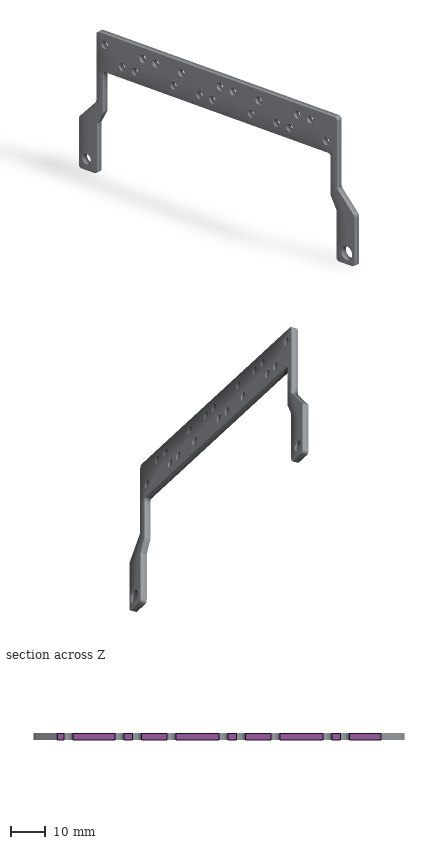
import cadquery as cq
import math

LENGTH = 107.0
HEIGHT = 45.0
THICKNESS = 2.0

BAR_LENGTH = 93.5
BAR_HEIGHT = 12.0
ARM_WIDTH = 2.5
FOOT_WIDTH = 7.0
FOOT_HEIGHT = 16.0
OUTER_BEND_ANGLE = 45.0
INNER_BEND_ANGLE = 60.0
CORNER_RADIUS = 1.0

SMALL_HOLE_DIAMETER = 2.45
PITCH = 5.0
PATTERN_ORIGIN_X = 1.25
ROW_EDGE_DISTANCE = 3.5
UPPER_ROW_STEPS = (-6, -5, -3, 0, 1, 3, 6, 7)
LOWER_ROW_SHIFT = 2.0
LOWER_ROW_STEPS = (-8, -7, -4, -2, -1, 2, 4, 5)
UPPER_END_HOLE_X = -43.5
LOWER_END_HOLE_X = 42.5

FOOT_HOLE_X = 50.5
FOOT_HOLE_EDGE_DISTANCE = 3.5
LEFT_FOOT_HOLE_DIAMETER = 3.2
RIGHT_FOOT_HOLE_DIAMETER = 4.2

HALF_LENGTH = LENGTH / 2
BAR_HALF_LENGTH = BAR_LENGTH / 2
TOP_Z = HEIGHT / 2
BOTTOM_Z = -HEIGHT / 2
BAR_BOTTOM_Z = TOP_Z - BAR_HEIGHT
ARM_INNER_X = BAR_HALF_LENGTH - ARM_WIDTH
FOOT_INNER_X = HALF_LENGTH - FOOT_WIDTH
FOOT_TOP_Z = BOTTOM_Z + FOOT_HEIGHT
OUTER_BEND_RISE = (HALF_LENGTH - BAR_HALF_LENGTH) * math.tan(math.radians(OUTER_BEND_ANGLE))
INNER_BEND_RISE = (FOOT_INNER_X - ARM_INNER_X) * math.tan(math.radians(INNER_BEND_ANGLE))
UPPER_ROW_Z = TOP_Z - ROW_EDGE_DISTANCE
LOWER_ROW_Z = BAR_BOTTOM_Z + ROW_EDGE_DISTANCE
FOOT_HOLE_Z = BOTTOM_Z + FOOT_HOLE_EDGE_DISTANCE


def make_plate():
    """Bar with two cranked arms ending in feet, all profile corners rounded."""
    right_side = [
        (BAR_HALF_LENGTH, TOP_Z),
        (BAR_HALF_LENGTH, FOOT_TOP_Z + OUTER_BEND_RISE),
        (HALF_LENGTH, FOOT_TOP_Z),
        (HALF_LENGTH, BOTTOM_Z),
        (FOOT_INNER_X, BOTTOM_Z),
        (FOOT_INNER_X, FOOT_TOP_Z),
        (ARM_INNER_X, FOOT_TOP_Z + INNER_BEND_RISE),
        (ARM_INNER_X, BAR_BOTTOM_Z),
    ]
    left_side = [(-x, z) for x, z in reversed(right_side)]
    front = cq.Workplane("XZ", origin=(0, -THICKNESS / 2, 0))
    plate = front.polyline(right_side + left_side).close().extrude(-THICKNESS)
    return plate.edges("|Y").fillet(CORNER_RADIUS)


def cut_holes(plate, points, diameter):
    """Cut round through-holes at the given (x, z) points."""
    front = cq.Workplane("XZ", origin=(0, -THICKNESS / 2, 0))
    drills = front.pushPoints(points).circle(diameter / 2).extrude(-THICKNESS)
    return plate.cut(drills)


def small_hole_points():
    """Centres of the two pitched rows and of the separate hole ending each row."""
    upper = [(PATTERN_ORIGIN_X + step * PITCH, UPPER_ROW_Z) for step in UPPER_ROW_STEPS]
    lower_origin_x = PATTERN_ORIGIN_X + LOWER_ROW_SHIFT
    lower = [(lower_origin_x + step * PITCH, LOWER_ROW_Z) for step in LOWER_ROW_STEPS]
    ends = [(UPPER_END_HOLE_X, UPPER_ROW_Z), (LOWER_END_HOLE_X, LOWER_ROW_Z)]
    return upper + lower + ends


result = make_plate()
result = cut_holes(result, small_hole_points(), SMALL_HOLE_DIAMETER)
result = cut_holes(result, [(-FOOT_HOLE_X, FOOT_HOLE_Z)], LEFT_FOOT_HOLE_DIAMETER)
result = cut_holes(result, [(FOOT_HOLE_X, FOOT_HOLE_Z)], RIGHT_FOOT_HOLE_DIAMETER)